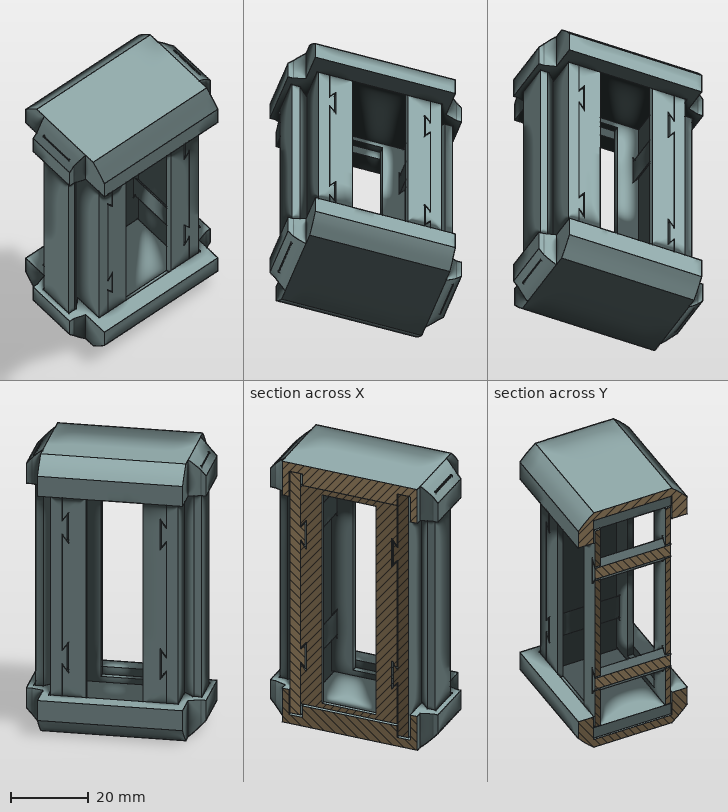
import cadquery as cq
import math

frame_height = 76.2
fit_gap = 0.3

cap_width = 31.55
cap_depth = 37.95
cap_height = 10.0
bevel = 4.5
bevel_bulge = 0.15
lug_reach = 47.0 / 2
lug_root_half = 8.3
lug_tip_half = 7.3
lug_taper = 3.1

post_half_width = 11.0
post_inner_y = 13.65
plate_thickness = 3.05
rail_half_width = 4.9
rail_undercut = 3.0
rail_lip = 2.05
post_outer_y = post_inner_y + plate_thickness + rail_undercut + rail_lip
post_roof = 2.7
post_pocket_depth = cap_height - post_roof

panel_half_span = 13.6
panel_thickness = 1.7
panel_stile = 6.1
panel_rail = 1.5
panel_pocket_depth = 4.0

dovetail_z = 17.8
tab_length = 1.3
tab_root_half = 1.8
tab_tip_half = 3.6
slot_depth = 1.6
slot_mouth_half = 2.1
slot_bottom_half = 4.2

play_z = 0.2
post_shift_y = -0.15
panel_shift_y = post_shift_y - (post_inner_y - panel_half_span)

post_length = frame_height - 2 * post_roof - 2 * play_z
panel_height = frame_height - 2 * (cap_height - panel_pocket_depth) - 2 * play_z


def beveled_profile(plane, half_width):
    """Closed cap section: flat bottom at zero, bulged bevels at both upper corners."""
    flat_half = half_width - bevel
    bevel_foot = cap_height - bevel
    bulge_offset = bevel / 2 - bevel_bulge / math.sqrt(2)
    arc_x = half_width - bulge_offset
    arc_z = cap_height - bulge_offset
    return (
        cq.Workplane(plane)
        .moveTo(-half_width, 0)
        .lineTo(half_width, 0)
        .lineTo(half_width, bevel_foot)
        .threePointArc((arc_x, arc_z), (flat_half, cap_height))
        .lineTo(-flat_half, cap_height)
        .threePointArc((-arc_x, arc_z), (-half_width, bevel_foot))
        .close()
    )


def post_section():
    """Cross-section of the outer post on the +Y side."""
    plate_y = post_inner_y + plate_thickness
    lip_y = plate_y + rail_undercut
    neck_half = rail_half_width - rail_undercut
    right_half = [
        (post_half_width, post_inner_y),
        (post_half_width, plate_y),
        (neck_half, plate_y),
        (rail_half_width, lip_y),
        (rail_half_width, post_outer_y),
    ]
    left_half = [(-x, y) for x, y in reversed(right_half)]
    return cq.Workplane("XY").polyline(right_half + left_half).close()


def lug_bar():
    """Bar along Y whose two tapered, beveled ends are the lugs of a cap."""
    straight_y = cap_depth / 2 + lug_taper
    quarter = [
        (lug_tip_half, lug_reach),
        (lug_tip_half, straight_y),
        (lug_root_half, cap_depth / 2),
    ]
    right_side = quarter + [(x, -y) for x, y in reversed(quarter)]
    left_side = [(-x, y) for x, y in reversed(right_side)]
    plan = cq.Workplane("XY").polyline(right_side + left_side).close().extrude(cap_height)
    section = beveled_profile("YZ", lug_reach).extrude(cap_width / 2, both=True)
    return plan.intersect(section)


def make_cap():
    """Upper cap with its open face at z = 0."""
    body = beveled_profile("XZ", cap_width / 2).extrude(cap_depth / 2, both=True)
    cap = body.union(lug_bar())
    panel_pocket = cq.Workplane("XY").box(
        2 * (post_half_width + fit_gap),
        2 * (post_inner_y + fit_gap),
        panel_pocket_depth,
        centered=(True, True, False),
    )
    cap = cap.cut(panel_pocket)
    post_pocket = post_section().offset2D(fit_gap, "intersection").extrude(post_pocket_depth)
    for pocket in (post_pocket, post_pocket.mirror("XZ")):
        cap = cap.cut(pocket)
    return cap


def dovetail(start_y, length, root_half, tip_half, center_z):
    """Dovetail bar along X that widens from start_y towards the middle of the frame."""
    tip_y = start_y - length
    return (
        cq.Workplane("YZ")
        .polyline(
            [
                (start_y, center_z - root_half),
                (start_y, center_z + root_half),
                (tip_y, center_z + tip_half),
                (tip_y, center_z - tip_half),
            ]
        )
        .close()
        .extrude(post_half_width, both=True)
    )


def make_post():
    """Outer post on the +Y side, centred in height."""
    post = post_section().extrude(post_length / 2, both=True)
    for z in (-dovetail_z, dovetail_z):
        post = post.union(dovetail(post_inner_y, tab_length, tab_root_half, tab_tip_half, z))
    return post


def make_panel():
    """Side panel on the +X side, centred in height."""
    panel_x = post_half_width - panel_thickness / 2
    panel = cq.Workplane("XY").box(panel_thickness, 2 * panel_half_span, panel_height)
    window = cq.Workplane("XY").box(
        panel_thickness,
        2 * (panel_half_span - panel_stile),
        panel_height - 2 * panel_rail,
    )
    panel = panel.cut(window).translate((panel_x, 0, 0))
    for z in (-dovetail_z, dovetail_z):
        slot = dovetail(panel_half_span, slot_depth, slot_mouth_half, slot_bottom_half, z)
        panel = panel.cut(slot).cut(slot.mirror("XZ"))
    return panel


top_cap = make_cap().translate((0, 0, frame_height / 2 - cap_height))
caps = [top_cap, top_cap.mirror("XY")]

posts = []
panels = []
for turn in (0, 180):
    post = make_post().rotate((0, 0, 0), (0, 0, 1), turn)
    posts.append(post.translate((0, post_shift_y, play_z)))
    panel = make_panel().rotate((0, 0, 0), (0, 0, 1), turn)
    panels.append(panel.translate((0, panel_shift_y, play_z)))

result = cq.Compound.makeCompound([body.val() for body in caps + posts + panels])